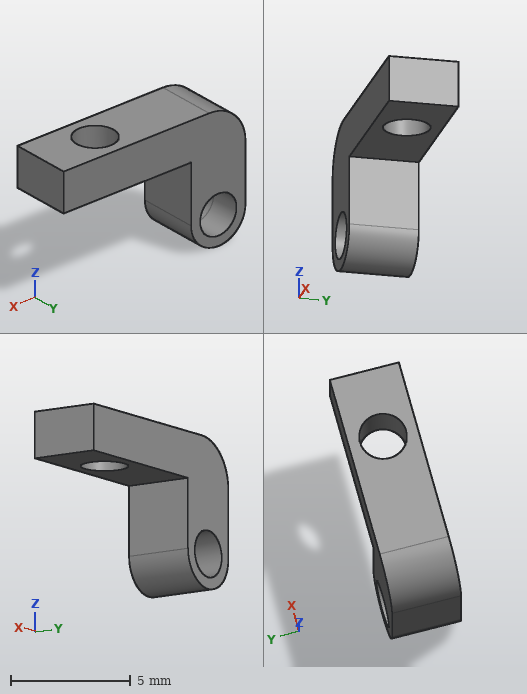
import cadquery as cq

length = 10.0
width = 3.0
height = 6.5

arm_thickness = 2.0
leg_width = 3.0
corner_radius = 2.0

hole_diameter = 2.0
arm_hole_x = 7.0

leg_end_radius = leg_width / 2
arm_underside_z = height - arm_thickness


def bracket_body():
    """L-shaped profile with a round leg end, centred on Y = 0."""
    return (
        cq.Workplane("XZ")
        .moveTo(0, leg_end_radius)
        .lineTo(0, height - corner_radius)
        .radiusArc((corner_radius, height), corner_radius)
        .lineTo(length, height)
        .lineTo(length, arm_underside_z)
        .lineTo(leg_width, arm_underside_z)
        .lineTo(leg_width, leg_end_radius)
        .threePointArc((leg_end_radius, 0), (0, leg_end_radius))
        .close()
        .extrude(width / 2, both=True)
    )


def pivot_hole():
    """Hole through the width, concentric with the round leg end."""
    return (
        cq.Workplane("XZ")
        .center(leg_end_radius, leg_end_radius)
        .circle(hole_diameter / 2)
        .extrude(width, both=True)
    )


def arm_hole():
    """Vertical hole through the arm."""
    return (
        cq.Workplane("XY")
        .center(arm_hole_x, 0)
        .circle(hole_diameter / 2)
        .extrude(height)
    )


result = bracket_body().cut(pivot_hole()).cut(arm_hole())